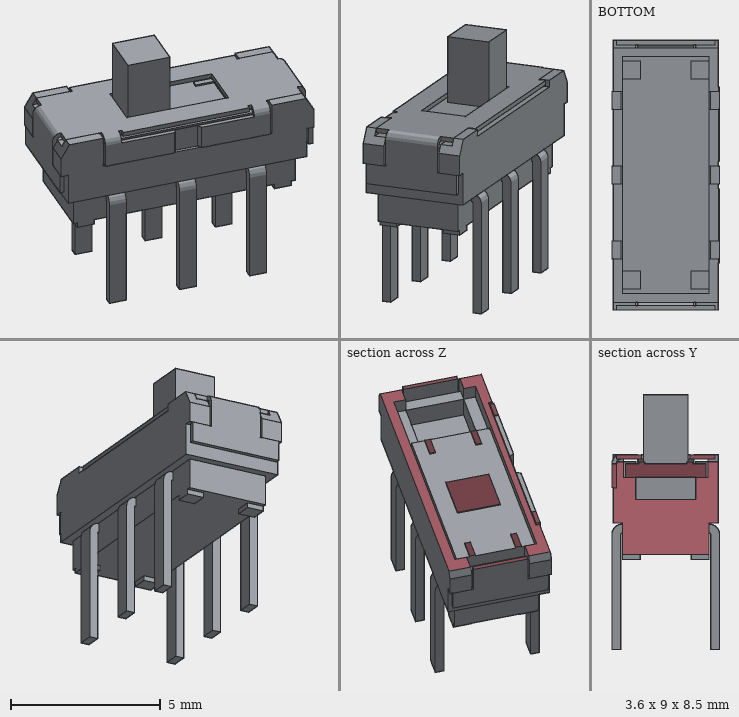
import cadquery as cq
import math


length = 9.0
span_x = 3.6

sheet = 0.15
bend_radius = 0.3
cover_half_x = span_x / 2 - sheet
side_edge_half_y = 2.93
window_x = 1.6
window_y = 3.62
end_neck_x = 1.88
end_flap_shoulder_z = -1.19
end_flap_bottom_z = -1.88
side_flap_bottom_z = -1.1
tab_length = 0.58
relief_length = 0.11
flap_gap_inner = 0.77
flap_gap_outer = 0.95

housing_x = 3.51
housing_y = 8.49
housing_bottom_z = -2.29
rim_z = -0.23
corner_half_x = 1.4
corner_half_y = 3.0
lug_half_x = 1.0
lug_bottom_z = end_flap_shoulder_z
lug_chamfer_y = 0.3
lug_chamfer_z = 0.495
cavity_y = 7.7
ledge_z = -0.76
pit_floor_z = -1.49
bend_clearance = 0.02

base_x = 2.9
base_y = 7.9
base_bottom_z = -3.33
foot_size = 0.6
foot_height = 0.17
foot_center_y = 3.5

lead_width = 0.6
lead_thickness = 0.31
lead_pitch = 2.49
lead_top_z = -2.31
lead_bottom_z = -6.5

stem_size = 1.49
stem_top_z = 2.0
travel_offset = -1.0
carriage_y = 5.71
carriage_top_z = -0.3
carriage_clearance = 0.05
ear_inner_half_x = 0.69
ear_outer_half_x = 0.9
ear_length = 0.66
ear_top_z = -0.24


def box(x0, x1, y0, y1, z0, z1):
    """Box between two opposite corners."""
    return cq.Workplane("XY").box(x1 - x0, y1 - y0, z1 - z0, centered=False).translate((x0, y0, z0))


def centered_box(size_x, size_y, z0, z1):
    """Box centred on the Z axis between two heights."""
    return box(-size_x / 2, size_x / 2, -size_y / 2, size_y / 2, z0, z1)


def bent_strip(reach, drop_z, width):
    """Sheet strip in the XZ plane: starts flat at Z = 0, bends down, ends at drop_z; centred on Y."""
    bend_start = reach - bend_radius
    inner_radius = bend_radius - sheet
    diagonal = math.sqrt(0.5)
    profile = (
        cq.Workplane("XZ")
        .moveTo(bend_start - sheet, 0)
        .lineTo(bend_start, 0)
        .threePointArc(
            (bend_start + bend_radius * diagonal, bend_radius * (diagonal - 1)), (reach, -bend_radius)
        )
        .lineTo(reach, drop_z)
        .lineTo(reach - sheet, drop_z)
        .lineTo(reach - sheet, -bend_radius)
        .threePointArc(
            (bend_start + inner_radius * diagonal, inner_radius * diagonal - bend_radius),
            (bend_start, -sheet),
        )
        .lineTo(bend_start - sheet, -sheet)
        .close()
    )
    return profile.extrude(width / 2, both=True)


def make_housing():
    """Plastic housing with its stepped cavity, base, feet and moulded-in leads."""
    body = centered_box(housing_x, housing_y, housing_bottom_z, 0)
    body = body.union(centered_box(housing_x, length, lug_bottom_z, 0))

    for side in (-1, 1):
        y_end = side * length / 2
        wedge = (
            cq.Workplane("YZ")
            .polyline([(y_end, 0), (y_end - side * lug_chamfer_y, 0), (y_end, -lug_chamfer_z)])
            .close()
            .extrude(housing_x / 2, both=True)
        )
        body = body.cut(wedge)

    body = body.cut(centered_box(2 * corner_half_x, length, rim_z, 0))
    body = body.cut(centered_box(housing_x, 2 * corner_half_y, rim_z, 0))

    body = body.cut(centered_box(2 * lug_half_x, length, ledge_z, 0))
    for side in (-1, 1):
        end_range = sorted((side * housing_y / 2, side * length / 2))
        body = body.cut(box(-lug_half_x, lug_half_x, *end_range, lug_bottom_z, 0))

    body = body.cut(centered_box(2 * corner_half_x, cavity_y, ledge_z, rim_z))
    body = body.cut(centered_box(2 * lug_half_x, cavity_y, pit_floor_z, ledge_z))

    body = body.cut(
        box(cover_half_x, housing_x / 2, -corner_half_y, corner_half_y, side_flap_bottom_z, rim_z)
    )
    body = body.cut(
        box(
            cover_half_x - bend_clearance, cover_half_x, -corner_half_y, corner_half_y, -bend_radius, rim_z
        )
    )

    body = body.union(centered_box(base_x, base_y, base_bottom_z, housing_bottom_z))
    return add_leads(add_feet(body))


def add_feet(body):
    """Four standoff feet under the base corners, flush with its sides."""
    foot_center_x = (base_x - foot_size) / 2
    feet = (
        cq.Workplane("XY", origin=(0, 0, base_bottom_z - foot_height))
        .rect(2 * foot_center_x, 2 * foot_center_y, forConstruction=True)
        .vertices()
        .rect(foot_size, foot_size)
        .extrude(foot_height)
    )
    return body.union(feet)


def make_lead():
    """One lead on the +X side, centred on Y: out of the base, round a bend and straight down."""
    outer_radius = (span_x - base_x) / 2
    inner_radius = outer_radius - lead_thickness
    center_x = base_x / 2
    center_z = lead_top_z - outer_radius
    diagonal = math.sqrt(0.5)
    return (
        cq.Workplane("XZ")
        .moveTo(center_x, lead_top_z)
        .threePointArc(
            (center_x + outer_radius * diagonal, center_z + outer_radius * diagonal),
            (center_x + outer_radius, center_z),
        )
        .lineTo(center_x + outer_radius, lead_bottom_z)
        .lineTo(center_x + inner_radius, lead_bottom_z)
        .lineTo(center_x + inner_radius, center_z)
        .threePointArc(
            (center_x + inner_radius * diagonal, center_z + inner_radius * diagonal),
            (center_x, center_z + inner_radius),
        )
        .close()
        .extrude(lead_width / 2, both=True)
    )


def add_leads(body):
    """Three leads along each side."""
    lead = make_lead()
    for row in (-1, 0, 1):
        placed = lead.translate((0, row * lead_pitch, 0))
        body = body.union(placed).union(placed.mirror("YZ"))
    return body


def make_cover():
    """Sheet-metal cover: windowed top plate, a T-shaped flap at each end and a split +X side flap."""
    plate_half_y = length / 2 - bend_radius
    cover = centered_box(2 * corner_half_x, 2 * plate_half_y, -sheet, 0)
    cover = cover.union(centered_box(2 * cover_half_x, 2 * side_edge_half_y, -sheet, 0))

    neck = bent_strip(length / 2, end_flap_bottom_z, end_neck_x)
    wide_end = box(
        length / 2 - sheet, length / 2, -cover_half_x, cover_half_x, end_flap_bottom_z, end_flap_shoulder_z
    )
    end_flap = neck.union(wide_end)
    for turn in (90, -90):
        cover = cover.union(end_flap.rotate((0, 0, 0), (0, 0, 1), turn))

    side_bend_x = span_x / 2 - bend_radius
    tab_center_y = side_edge_half_y - tab_length / 2
    for side in (-1, 1):
        notch_ends = sorted((side * (side_edge_half_y - tab_length - relief_length), side * side_edge_half_y))
        cover = cover.cut(box(side_bend_x, cover_half_x, *notch_ends, -sheet, 0))
        tab = bent_strip(span_x / 2, side_flap_bottom_z, tab_length)
        cover = cover.union(tab.translate((0, side * tab_center_y, 0)))

    flap_halves = box(
        cover_half_x, span_x / 2, -side_edge_half_y, side_edge_half_y, side_flap_bottom_z, -bend_radius
    )
    flap_gap = (
        cq.Workplane("XY", origin=(0, 0, side_flap_bottom_z))
        .polyline([
            (cover_half_x, -flap_gap_inner / 2),
            (span_x / 2, -flap_gap_outer / 2),
            (span_x / 2, flap_gap_outer / 2),
            (cover_half_x, flap_gap_inner / 2),
        ])
        .close()
        .extrude(-side_flap_bottom_z)
    )
    cover = cover.union(flap_halves.cut(flap_gap))

    return cover.cut(centered_box(window_x, window_y, -sheet, 0))


def make_actuator():
    """Square stem on a carriage that slides on the housing ledge, with a raised pad at each corner."""
    carriage_x = 2 * (corner_half_x - carriage_clearance)
    actuator = centered_box(carriage_x, carriage_y, ledge_z, carriage_top_z)
    actuator = actuator.union(centered_box(stem_size, stem_size, carriage_top_z, stem_top_z))
    ear_width = ear_outer_half_x - ear_inner_half_x
    ears = (
        cq.Workplane("XY", origin=(0, 0, carriage_top_z))
        .rect(ear_inner_half_x + ear_outer_half_x, carriage_y - ear_length, forConstruction=True)
        .vertices()
        .rect(ear_width, ear_length)
        .extrude(ear_top_z - carriage_top_z)
    )
    return actuator.union(ears).translate((0, travel_offset, 0))


housing = make_housing()
cover = make_cover()
actuator = make_actuator()

result = cq.Compound.makeCompound([part.solids().val() for part in (housing, cover, actuator)])